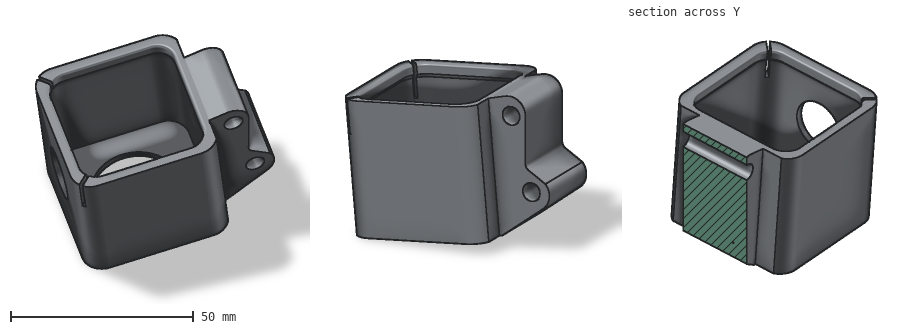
import cadquery as cq
import math

tilt = 5.0
box_width = 42.0
rear_flat_depth = 0.65
box_depth = box_width - rear_flat_depth
box_height = 39.1
corner_radius = 6.0

wall = 2.0
floor_thickness = 2.0
cavity_radius = 6.3
mouth_radius = 5.15
lip_overhang = 1.2
lip_height = 3.0
lip_rounding = 1.0

floor_hole_diameter = 25.0
front_hole_diameter = 15.0
front_hole_height = 20.3
slit_width = 1.0
slit_depth = 10.0
slit_reach = 6.0

bracket_width = 22.5
bracket_top = 44.1
bracket_rear = 49.15
pin_hole_diameter = 5.3
upper_pin = (44.75, 38.5)
lower_pin = (51.0, 17.5)
lobe_radius = 5.005
upper_lobe = (bracket_rear - lobe_radius, bracket_top - lobe_radius)
upper_slope = 16.0
lug_rear = 56.5
lug_lobe = (lug_rear - lobe_radius, 17.15)
lug_upper_slope = 32.0
lug_lower_slope = 36.9
notch = (bracket_rear, 24.25)
notch_radius = 2.0

block_centre_y = box_width / 2
cavity_width = box_width - 2 * wall
mouth_width = cavity_width - 2 * lip_overhang
bracket_inset = (wall - rear_flat_depth) / 2


def rounded_block(width, bottom, top, radius):
    """Square upright block with rounded vertical corners, on the axis of the box."""
    return (
        cq.Workplane("XY", origin=(0, block_centre_y, bottom))
        .rect(width, width)
        .extrude(top - bottom)
        .edges("|Z")
        .fillet(radius)
    )


def box_block():
    """Rounded square block whose back is shaved flat, leaving a crease beside each rear corner."""
    block = rounded_block(box_width, 0, box_height, corner_radius)
    shaving = (
        cq.Workplane("XY", origin=(0, box_depth + rear_flat_depth, 0))
        .rect(2 * box_width, 2 * rear_flat_depth)
        .extrude(box_height)
    )
    return block.cut(shaving)


def cut_cavity(block):
    """Open the mouth, round its rim and widen the cavity below the lip with a 45 degree shoulder."""
    mouth = rounded_block(mouth_width, floor_thickness, box_height, mouth_radius)
    cavity = rounded_block(cavity_width, floor_thickness, box_height - lip_height, cavity_radius)
    cavity = cavity.faces(">Z").chamfer(lip_overhang)
    rim = cq.selectors.NearestToPointSelector((0, wall + lip_overhang, box_height))
    return block.cut(mouth).edges(rim).fillet(lip_rounding).cut(cavity)


def floor_hole():
    return (
        cq.Workplane("XY", origin=(0, box_depth / 2, 0))
        .circle(floor_hole_diameter / 2)
        .extrude(floor_thickness)
    )


def front_hole():
    return (
        cq.Workplane("XZ", origin=(0, 0, front_hole_height))
        .circle(front_hole_diameter / 2)
        .extrude(-wall)
    )


def corner_slit(side):
    """Slit down from the rim along a front corner's diagonal; side is -1 for left, 1 for right."""
    corner_gap = corner_radius * (1 - math.sqrt(0.5))
    return (
        cq.Workplane("XY")
        .box(2 * slit_reach, slit_width, slit_depth, centered=(True, True, False))
        .rotate((0, 0, 0), (0, 0, 1), -45 * side)
        .translate((side * (box_width / 2 - corner_gap), corner_gap, box_height - slit_depth))
    )


def tilted_point(y, z):
    """(Y, Z) of a point of the box after it has been tilted."""
    turn = math.radians(tilt)
    return (
        y * math.cos(turn) - z * math.sin(turn),
        y * math.sin(turn) + z * math.cos(turn),
    )


def on_lobe(centre, angle):
    """Point on a lobe's circle, at an angle in degrees measured from +Y towards +Z."""
    turn = math.radians(angle)
    return (centre[0] + lobe_radius * math.cos(turn), centre[1] + lobe_radius * math.sin(turn))


def lug_upper_end():
    """Where the edge falling rearward from the notch ends on the lug's circle."""
    turn = math.radians(-lug_upper_slope)
    offset_y = notch[0] - lug_lobe[0]
    offset_z = notch[1] - lug_lobe[1]
    along = offset_y * math.cos(turn) + offset_z * math.sin(turn)
    outside = offset_y ** 2 + offset_z ** 2 - lobe_radius ** 2
    length = math.sqrt(along ** 2 - outside) - along
    return (notch[0] + length * math.cos(turn), notch[1] + length * math.sin(turn))


def bracket_foot(lug_lower_end):
    """Where the lower edge of the lug meets the plane of the box's underside."""
    lug_gradient = math.tan(math.radians(lug_lower_slope))
    floor_gradient = math.tan(math.radians(tilt))
    y = (lug_gradient * lug_lower_end[0] - lug_lower_end[1]) / (lug_gradient - floor_gradient)
    return (y, floor_gradient * y)


def bracket():
    """Plate with two rounded lobes, reaching forward into the back wall of the box."""
    lug_lower_end = on_lobe(lug_lobe, lug_lower_slope - 90)
    plate = (
        cq.Workplane("YZ", origin=(-bracket_width / 2, 0, 0))
        .moveTo(*tilted_point(box_depth - bracket_inset, 0))
        .lineTo(*bracket_foot(lug_lower_end))
        .lineTo(*lug_lower_end)
        .threePointArc(on_lobe(lug_lobe, 0), lug_upper_end())
        .lineTo(*notch)
        .lineTo(*on_lobe(upper_lobe, 0))
        .threePointArc(on_lobe(upper_lobe, 45), on_lobe(upper_lobe, 90 + upper_slope))
        .lineTo(*tilted_point(box_depth, box_height))
        .lineTo(*tilted_point(box_depth - bracket_inset, box_height))
        .close()
        .extrude(bracket_width)
    )
    notch_edge = cq.selectors.NearestToPointSelector((0, *notch))
    return plate.edges("|X").edges(notch_edge).fillet(notch_radius)


def pin_holes():
    return (
        cq.Workplane("YZ", origin=(-bracket_width / 2, 0, 0))
        .pushPoints([upper_pin, lower_pin])
        .circle(pin_hole_diameter / 2)
        .extrude(bracket_width)
    )


box = cut_cavity(box_block()).cut(floor_hole()).cut(front_hole())
for side in (-1, 1):
    box = box.cut(corner_slit(side))
tilted_box = box.rotate((0, 0, 0), (1, 0, 0), tilt)

result = tilted_box.union(bracket()).cut(pin_holes())